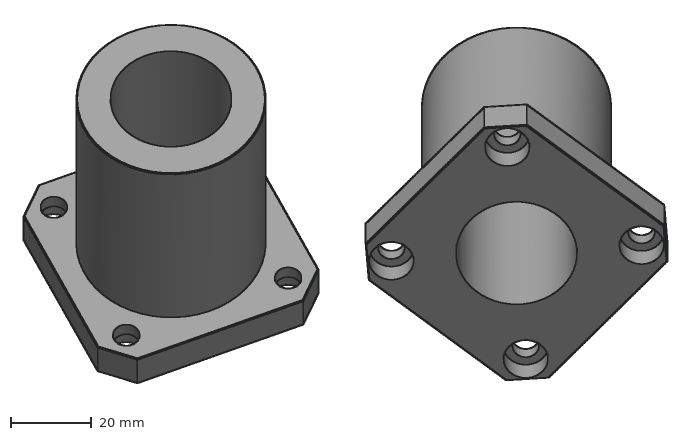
import cadquery as cq

total_height = 68.0
flange_width = 60.0
flange_thickness = 10.0
corner_cut = 7.5

sleeve_diameter = 47.0
bore_diameter = 30.0

hole_diameter = 6.6
hole_spacing = 43.9
counterbore_diameter = 11.0
counterbore_depth = 6.1

edge_break = 0.3


def make_flange():
    """Square plate with cut corners and broken top and bottom edges."""
    plate = cq.Workplane("XY").rect(flange_width, flange_width).extrude(flange_thickness)
    plate = plate.edges("|Z").chamfer(corner_cut)
    return plate.faces("<Z or >Z").edges().chamfer(edge_break)


def make_sleeve():
    """Upright cylinder with a broken top edge."""
    sleeve = cq.Workplane("XY").circle(sleeve_diameter / 2).extrude(total_height)
    return sleeve.faces(">Z").edges().chamfer(edge_break)


def make_bore():
    """Cutter for the central through bore."""
    return cq.Workplane("XY").circle(bore_diameter / 2).extrude(total_height)


def make_mounting_holes():
    """Cutters for the four flange holes, each counterbored from the bottom face."""
    centres = cq.Workplane("XY").rect(hole_spacing, hole_spacing, forConstruction=True).vertices()
    through_holes = centres.circle(hole_diameter / 2).extrude(flange_thickness)
    counterbores = centres.circle(counterbore_diameter / 2).extrude(counterbore_depth)
    return through_holes.union(counterbores)


result = make_flange().union(make_sleeve()).cut(make_bore()).cut(make_mounting_holes())